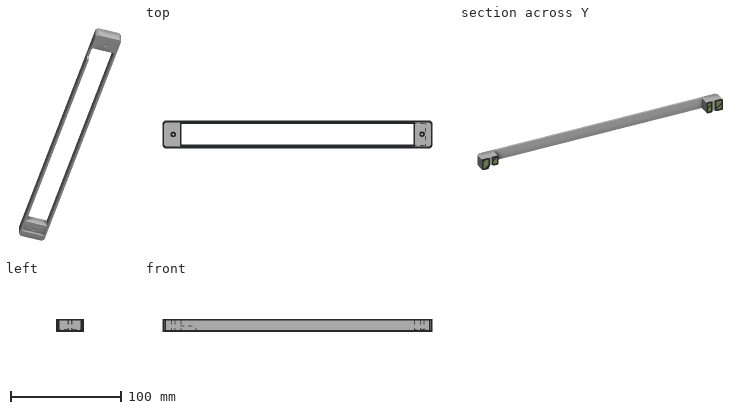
import cadquery as cq

length = 244.0
width = 24.0
height = 10.5
corner_chamfer = 2.0

side_wall = 2.0
window_length = 212.0
window_width = width - 2 * side_wall
window_end = window_length / 2

hole_diameter = 3.2
hole_spacing = 226.0
left_hole_x = -112.9
right_hole_y = 0.3

notch_length = 13.6
notch_height = 5.0

recess_length = 10.0
recess_height = 2.0


def make_frame():
    """Bar with chamfered vertical corners and a rectangular window."""
    bar = cq.Workplane("XY").box(length, width, height, centered=(True, True, False))
    bar = bar.edges("|Z").chamfer(corner_chamfer)
    window = cq.Workplane("XY").box(
        window_length, window_width, height, centered=(True, True, False)
    )
    return bar.cut(window)


def make_screw_holes():
    """Cylinders for the two through holes in the end blocks."""
    return (
        cq.Workplane("XY")
        .pushPoints([(left_hole_x, 0), (left_hole_x + hole_spacing, right_hole_y)])
        .circle(hole_diameter / 2)
        .extrude(height)
    )


def make_wall_notch():
    """Block that cuts the notch through the +Y side wall."""
    return (
        cq.Workplane("XY")
        .box(notch_length, side_wall, notch_height, centered=False)
        .translate((-window_end, window_width / 2, 0))
    )


def make_end_recess():
    """Block that cuts the recess into the underside of the +X end block."""
    return (
        cq.Workplane("XY")
        .box(recess_length, window_width, recess_height, centered=(False, True, False))
        .translate((window_end, 0, 0))
    )


result = (
    make_frame()
    .cut(make_screw_holes())
    .cut(make_wall_notch())
    .cut(make_end_recess())
)